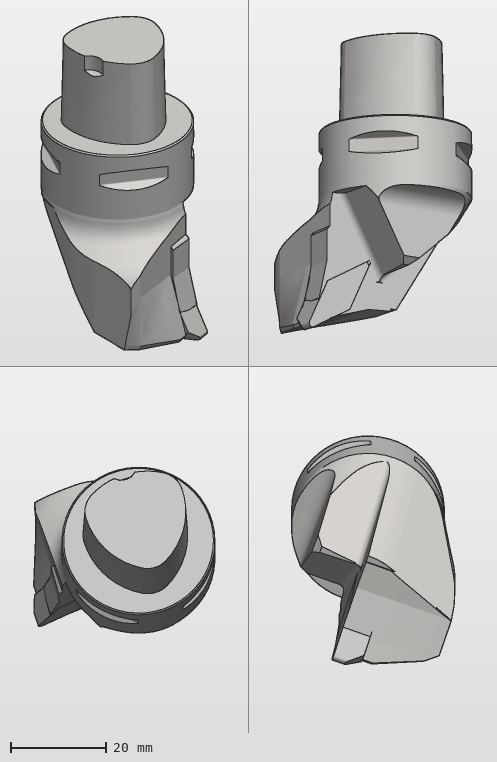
import cadquery as cq
import math

SHANK_HEIGHT = 18.95
SHANK_INSET = 0.415
LOBE_RADIUS = 5.7
LOBE_OFFSET = 6.1
LOBE_HALF_ANGLE = 29.5
LOBE_ANGLES = (90, 210, 330)
LOBE_TO_FLANK_ANGLE = 60
FLANK_HALF_ANGLE = LOBE_TO_FLANK_ANGLE - LOBE_HALF_ANGLE
FLANK_EXTRA_RADIUS = (
    LOBE_OFFSET * math.sin(math.radians(LOBE_TO_FLANK_ANGLE)) / math.sin(math.radians(FLANK_HALF_ANGLE))
)
FLANK_OFFSET = (
    FLANK_EXTRA_RADIUS * math.cos(math.radians(FLANK_HALF_ANGLE))
    - LOBE_OFFSET * math.cos(math.radians(LOBE_TO_FLANK_ANGLE))
)

NOTCH_RADIUS = 3.1
NOTCH_CENTRE_Y = -11.7
NOTCH_DEPTH = 3.3
DRILL_POINT_SLOPE = 31.0
DRILL_POINT_HEIGHT = NOTCH_RADIUS * math.tan(math.radians(DRILL_POINT_SLOPE))

FLANGE_RADIUS = 16.0
FLANGE_CHAMFER = 0.3
FLANGE_BOTTOM = -15.2
LEAN_TOP = -14.35

COLLAR_RADIUS = 16.2
COLLAR_BOTTOM = -15.95
HOLLOW_MIDDLE = (16.95, -18.25)
CONE_START = (19.2, -20.2)
CONE_END = (22.5, -22.15)
ROUND_MIDDLE = (24.8, -23.8)
ROUND_END = (26.5, -26.05)
SHOULDER_EDGE = (28.5, -30.1)

GROOVE_COUNT = 4
FIRST_GROOVE_ANGLE = 45.0
GROOVE_Z = -5.95
GROOVE_LENGTH = 14.7
GROOVE_FLOOR_HEIGHT = 2.6
GROOVE_MOUTH_HEIGHT = 4.75
GROOVE_FILLET = 0.25
GROOVE_FLOOR_DISTANCE = math.sqrt(FLANGE_RADIUS**2 - (GROOVE_LENGTH / 2) ** 2)

HEAD_FRONT_Y = -21.1
HEAD_RIGHT_X = 16.7
HEAD_FLOOR = -48.0
FAR = 38.4
SIDE_ANGLE = 33.0
SIDE_BLEND_RADIUS = 13.1
LEAN_X = 0.66
LEAN_PLANE_ANGLE = 20.8

INSERT_THICKNESS = 6.1
INSERT_EDGE = 13.0
NOSE_RADIUS = 0.8
NOSE_X = 21.25
NOSE_Z = -44.3
INSERT_STEEP_ANGLE = 116.0
INSERT_NOSE_ANGLE = 35.0
RELIEF_START = 2.7
RELIEF_SIZE = 2.7

SEAT_DEPTH = 8.3
BEVEL_DEPTH = 18.4

TOP_EDGE = [(-FAR, FLANGE_BOTTOM), (HEAD_RIGHT_X, FLANGE_BOTTOM)]
WALL_END = (HEAD_RIGHT_X, -29.45)
UNDERSIDE = [(15.75, -42.0), (6.85, -39.2), (1.1, -38.7), (1.1, -38.2), (-FAR, -38.2)]
RAKE_OUTLINE = [
    *TOP_EDGE, (HEAD_RIGHT_X, -22.5), (17.55, -23.35), (17.55, -30.2), (19.45, -38.45), *UNDERSIDE,
]
LEDGE_OUTLINE = [
    *TOP_EDGE, (HEAD_RIGHT_X, -22.8), (17.3, -23.4), (17.3, -30.2), (19.1, -38.45), *UNDERSIDE,
]
SEAT_OUTLINE = [*TOP_EDGE, WALL_END, (20.4, -42.75), (20.0, -43.45), *UNDERSIDE]
BEVEL_OUTLINE = [
    *TOP_EDGE, WALL_END, (HEAD_RIGHT_X, -40.7), (16.3, -41.65), (15.35, -41.4),
    (6.85, -38.9), (5.95, -38.8), (5.95, -38.5), (-FAR, -38.5),
]
FRONT_OUTLINE = [
    (-FAR, FLANGE_BOTTOM), (16.05, FLANGE_BOTTOM), (16.05, -32.0), (14.6, -39.9), (14.35, -41.0),
    (10.9, -39.95), (7.05, -38.8), (6.9, -38.7), (6.9, -38.6), (-FAR, -38.6),
]

REAR_Y = 10.6
REAR_BOTTOM = -31.55
REAR_FILLET = 4.0
REAR_CORNER_TOP = -29.45
REAR_CORNER_BOTTOM = -30.9
REAR_CORNER = REAR_CORNER_TOP - REAR_CORNER_BOTTOM
REAR_SLOPE_START = (-15.1, -15.7)
REAR_SLOPE_ANGLE = 40.0
RAKE_FILLET = 1.4
FLUTE_FOOT_X = 4.0
FLUTE_WALL_ANGLE = 60.0


def polar(radius, degrees):
    angle = math.radians(degrees)
    return cq.Vector(radius * math.cos(angle), radius * math.sin(angle))


def shank_wire(inset, z):
    """Three lobe arcs joined by three flatter flank arcs, all tangent, moved inward by the inset."""
    height = cq.Vector(0, 0, z)
    lobe_radius = LOBE_RADIUS - inset
    flank_radius = LOBE_RADIUS + FLANK_EXTRA_RADIUS - inset
    edges = []
    for lobe_angle in LOBE_ANGLES:
        lobe_centre = polar(LOBE_OFFSET, lobe_angle) + height
        flank_angle = lobe_angle + LOBE_TO_FLANK_ANGLE
        flank_centre = polar(FLANK_OFFSET, flank_angle + 180) + height
        lobe_points = [
            lobe_centre + polar(lobe_radius, lobe_angle + turn)
            for turn in (-LOBE_HALF_ANGLE, 0, LOBE_HALF_ANGLE)
        ]
        flank_points = [
            flank_centre + polar(flank_radius, flank_angle + turn)
            for turn in (-FLANK_HALF_ANGLE, 0, FLANK_HALF_ANGLE)
        ]
        edges.append(cq.Edge.makeThreePointArc(*lobe_points))
        edges.append(cq.Edge.makeThreePointArc(*flank_points))
    return cq.Wire.assembleEdges(edges)


def make_shank():
    wires = [shank_wire(0, 0), shank_wire(SHANK_INSET, SHANK_HEIGHT)]
    shank = cq.Workplane(cq.Solid.makeLoft(wires, True))
    drill_top = SHANK_HEIGHT + NOTCH_DEPTH
    notch_floor = SHANK_HEIGHT - NOTCH_DEPTH
    drill = (
        cq.Workplane("XZ")
        .moveTo(0, drill_top)
        .lineTo(NOTCH_RADIUS, drill_top)
        .lineTo(NOTCH_RADIUS, notch_floor)
        .lineTo(0, notch_floor - DRILL_POINT_HEIGHT)
        .close()
        .revolve(360, (0, 0, 0), (0, 1, 0))
        .translate((0, NOTCH_CENTRE_Y, 0))
    )
    return shank.cut(drill)


def make_groove(angle):
    """Straight groove with sloping sides, cut across the flange at the given angle."""
    depth = FLANGE_RADIUS - GROOVE_FLOOR_DISTANCE
    flare = (GROOVE_MOUTH_HEIGHT - GROOVE_FLOOR_HEIGHT) / 2
    half_floor = GROOVE_FLOOR_HEIGHT / 2
    outer_half = half_floor + 2 * flare
    outer_x = GROOVE_FLOOR_DISTANCE + 2 * depth
    groove = (
        cq.Workplane("XZ")
        .polyline([
            (GROOVE_FLOOR_DISTANCE, -half_floor),
            (outer_x, -outer_half),
            (outer_x, outer_half),
            (GROOVE_FLOOR_DISTANCE, half_floor),
        ])
        .close()
        .extrude(GROOVE_LENGTH / 2, both=True)
        .faces("<X")
        .edges("|Y")
        .fillet(GROOVE_FILLET)
    )
    return groove.translate((0, 0, GROOVE_Z)).rotate((0, 0, 0), (0, 0, 1), angle)


def make_flange(lean):
    """Grooved disc whose lowest edge follows the slanted left side."""
    edge = cq.Workplane("XY", origin=(0, 0, LEAN_TOP)).circle(FAR).extrude(FLANGE_BOTTOM - LEAN_TOP)
    flange = (
        cq.Workplane("XY")
        .circle(FLANGE_RADIUS)
        .extrude(FLANGE_BOTTOM)
        .faces(">Z")
        .chamfer(FLANGE_CHAMFER)
    )
    for index in range(GROOVE_COUNT):
        flange = flange.cut(make_groove(FIRST_GROOVE_ANGLE + index * 360 / GROOVE_COUNT))
    return flange.cut(edge.cut(lean))


def make_shoulder():
    """Turned shape that widens below the flange: a collar, a hollow, a cone and a round."""
    return (
        cq.Workplane("XZ")
        .moveTo(0, FLANGE_BOTTOM)
        .lineTo(FLANGE_RADIUS, FLANGE_BOTTOM)
        .lineTo(COLLAR_RADIUS, COLLAR_BOTTOM)
        .threePointArc(HOLLOW_MIDDLE, CONE_START)
        .lineTo(*CONE_END)
        .threePointArc(ROUND_MIDDLE, ROUND_END)
        .lineTo(*SHOULDER_EDGE)
        .lineTo(SHOULDER_EDGE[0], HEAD_FLOOR)
        .lineTo(0, HEAD_FLOOR)
        .close()
        .revolve(360, (0, 0, 0), (0, 1, 0))
    )


def make_collar():
    """Front half of the flaring ring directly under the flange."""
    return (
        cq.Workplane("XZ")
        .moveTo(0, FLANGE_BOTTOM)
        .lineTo(FLANGE_RADIUS, FLANGE_BOTTOM)
        .lineTo(COLLAR_RADIUS, COLLAR_BOTTOM)
        .lineTo(0, COLLAR_BOTTOM)
        .close()
        .revolve(180, (0, 0, 0), (0, -1, 0))
    )


def make_plan():
    """Plan outline of the front half: the flange circle, a tangent flat, a blend and the front."""
    angle = math.radians(SIDE_ANGLE)
    tangent = (-FLANGE_RADIUS * math.sin(angle), -FLANGE_RADIUS * math.cos(angle))
    blend_y = HEAD_FRONT_Y + SIDE_BLEND_RADIUS * (1 - math.cos(angle))
    flat_x = tangent[0] + (tangent[1] - blend_y) / math.tan(angle)
    blend_x = flat_x + SIDE_BLEND_RADIUS * math.sin(angle)
    half = angle / 2
    blend_middle = (
        blend_x - SIDE_BLEND_RADIUS * math.sin(half),
        HEAD_FRONT_Y + SIDE_BLEND_RADIUS * (1 - math.cos(half)),
    )
    middle = math.radians((90 - SIDE_ANGLE) / 2)
    return (
        cq.Workplane("XY", origin=(0, 0, FLANGE_BOTTOM))
        .moveTo(-FLANGE_RADIUS, 0)
        .threePointArc((-FLANGE_RADIUS * math.cos(middle), -FLANGE_RADIUS * math.sin(middle)), tangent)
        .lineTo(flat_x, blend_y)
        .threePointArc(blend_middle, (blend_x, HEAD_FRONT_Y))
        .lineTo(FAR, HEAD_FRONT_Y)
        .lineTo(FAR, 0)
        .close()
        .extrude(HEAD_FLOOR - FLANGE_BOTTOM)
    )


def make_lean():
    """Flange circle with a tangent flat, pushed down along a slanted direction."""
    angle = math.radians(LEAN_PLANE_ANGLE)
    tangent = (-FLANGE_RADIUS * math.cos(angle), -FLANGE_RADIUS * math.sin(angle))
    flat_end_x = tangent[0] + (tangent[1] + FAR) * math.tan(angle)
    outline = (
        cq.Workplane("XY", origin=(0, 0, LEAN_TOP))
        .moveTo(0, FLANGE_RADIUS)
        .threePointArc((-FLANGE_RADIUS, 0), tangent)
        .lineTo(flat_end_x, -FAR)
        .lineTo(FAR, -FAR)
        .lineTo(FAR, FLANGE_RADIUS)
        .close()
        .val()
    )
    drop = HEAD_FLOOR - LEAN_TOP
    direction = cq.Vector(-drop * LEAN_X, 0, drop)
    return cq.Workplane(cq.Solid.extrudeLinear(outline, [], direction))


def section(points, depth):
    """Closed outline in the plane y = -depth."""
    return cq.Wire.makePolygon([cq.Vector(x, -depth, z) for x, z in points], close=True)


def make_lower_limit():
    """Bottom and right sides of the front half, as stacked slices along Y."""
    slices = [
        (RAKE_OUTLINE, 0, LEDGE_OUTLINE, INSERT_THICKNESS),
        (SEAT_OUTLINE, INSERT_THICKNESS, SEAT_OUTLINE, SEAT_DEPTH),
        (SEAT_OUTLINE, SEAT_DEPTH, BEVEL_OUTLINE, BEVEL_DEPTH),
        (BEVEL_OUTLINE, BEVEL_DEPTH, FRONT_OUTLINE, -HEAD_FRONT_Y),
    ]
    limit = cq.Workplane("XY")
    for near, near_depth, far, far_depth in slices:
        limit = limit.add(cq.Solid.makeLoft([section(near, near_depth), section(far, far_depth)], True))
    return limit.combine()


def make_front_half(lean):
    head = make_shoulder().intersect(make_plan()).intersect(make_lower_limit())
    return head.union(make_collar()).intersect(lean)


def make_rear_half(lean):
    """Half-round block behind the rake plane, hollowed under the flange and sloped below."""
    bend = REAR_FILLET * (1 - math.sqrt(0.5))
    block = (
        cq.Workplane("YZ", origin=(-FLANGE_RADIUS, 0, 0))
        .moveTo(0, FLANGE_BOTTOM)
        .lineTo(FLANGE_RADIUS, FLANGE_BOTTOM)
        .lineTo(REAR_Y + REAR_FILLET, FLANGE_BOTTOM)
        .threePointArc((REAR_Y + bend, FLANGE_BOTTOM - bend), (REAR_Y, FLANGE_BOTTOM - REAR_FILLET))
        .lineTo(REAR_Y, REAR_CORNER_TOP)
        .lineTo(REAR_Y - REAR_CORNER, REAR_CORNER_BOTTOM)
        .lineTo(RAKE_FILLET, REAR_BOTTOM)
        .lineTo(0, REAR_BOTTOM - RAKE_FILLET)
        .close()
        .extrude(2 * FLANGE_RADIUS)
    )
    round_limit = (
        cq.Workplane("XY", origin=(0, 0, FLANGE_BOTTOM))
        .circle(FLANGE_RADIUS)
        .extrude(HEAD_FLOOR - FLANGE_BOTTOM)
    )
    start_x, start_z = REAR_SLOPE_START
    fall = math.tan(math.radians(REAR_SLOPE_ANGLE))
    rise = math.tan(math.radians(FLUTE_WALL_ANGLE))
    foot_z = start_z - (FLUTE_FOOT_X - start_x) * fall
    flute = (
        cq.Workplane("XZ")
        .polyline([
            (-FAR, start_z + (start_x + FAR) * fall),
            (FLUTE_FOOT_X, foot_z),
            (FAR, foot_z + (FAR - FLUTE_FOOT_X) * rise),
            (FAR, -2 * FAR),
            (-FAR, -2 * FAR),
        ])
        .close()
        .extrude(-FAR)
    )
    near_rake_plane = cq.selectors.BoxSelector((-FAR, -RAKE_FILLET, -FAR), (FAR, RAKE_FILLET, FAR))
    flute = flute.edges(near_rake_plane).fillet(RAKE_FILLET)
    return block.intersect(round_limit).intersect(lean).cut(flute)


def make_insert():
    """Rhombic plate with a rounded nose, relieved under the nose."""
    steep = math.radians(INSERT_STEEP_ANGLE)
    shallow = steep + math.radians(INSERT_NOSE_ANGLE)
    middle = (steep + shallow) / 2
    reach = NOSE_RADIUS / math.sin(math.radians(INSERT_NOSE_ANGLE / 2))
    tip = cq.Vector(NOSE_X - reach * math.cos(middle), NOSE_Z - reach * math.sin(middle))
    steep_edge = cq.Vector(math.cos(steep), math.sin(steep)) * INSERT_EDGE
    shallow_edge = cq.Vector(math.cos(shallow), math.sin(shallow)) * INSERT_EDGE
    corners = [tip, tip + steep_edge, tip + steep_edge + shallow_edge, tip + shallow_edge]
    plate = (
        cq.Workplane("XZ")
        .polyline([(corner.x, corner.y) for corner in corners])
        .close()
        .extrude(INSERT_THICKNESS)
        .edges("|Y and >X")
        .fillet(NOSE_RADIUS)
    )
    relief = (
        cq.Workplane("XY")
        .polyline([
            (NOSE_RADIUS, -RELIEF_START),
            (NOSE_RADIUS - RELIEF_SIZE, -INSERT_THICKNESS),
            (NOSE_RADIUS, -INSERT_THICKNESS),
        ])
        .close()
        .extrude(FAR, both=True)
        .rotate((0, 0, 0), (0, 1, 0), 180 - math.degrees(middle))
        .translate((NOSE_X, 0, NOSE_Z))
    )
    return plate.cut(relief)


def make_holder(insert):
    lean = make_lean()
    holder = make_flange(lean).union(make_shank())
    holder = holder.union(make_front_half(lean)).union(make_rear_half(lean))
    return holder.cut(insert)


insert = make_insert()
holder = make_holder(insert)
result = cq.Compound.makeCompound([holder.val(), insert.val()])